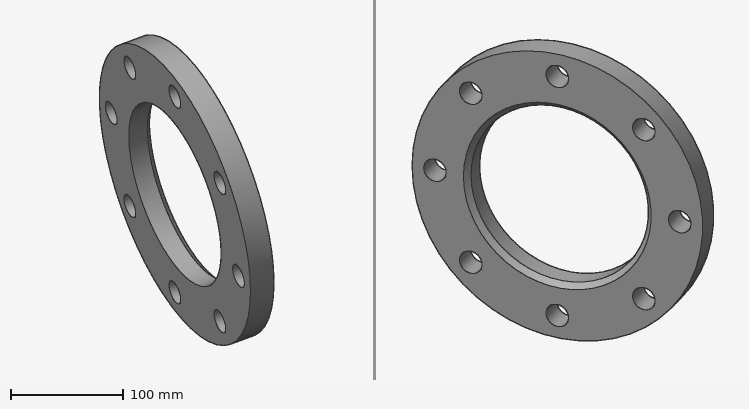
import cadquery as cq

outer_diameter = 285.0
thickness = 24.0
bore_diameter = 173.8
bore_chamfer = 5.0
bolt_circle_diameter = 240.0
bolt_hole_diameter = 22.0
bolt_hole_count = 8


def make_ring():
    """Flange ring with its central bore, centred on the origin."""
    return (
        cq.Workplane("XZ", origin=(0, thickness / 2, 0))
        .circle(outer_diameter / 2)
        .circle(bore_diameter / 2)
        .extrude(thickness)
    )


def make_bore_chamfer():
    """Cutter for the 45 degree chamfer around the bore on the +Y face."""
    return (
        cq.Workplane("XZ", origin=(0, thickness / 2, 0))
        .circle(bore_diameter / 2 + bore_chamfer)
        .workplane(offset=bore_chamfer)
        .circle(bore_diameter / 2)
        .loft(ruled=True)
    )


def make_bolt_holes():
    """Cutters for the evenly spaced through holes."""
    return (
        cq.Workplane("XZ", origin=(0, thickness / 2, 0))
        .polarArray(bolt_circle_diameter / 2, 0, 360, bolt_hole_count)
        .circle(bolt_hole_diameter / 2)
        .extrude(thickness)
    )


result = make_ring().cut(make_bore_chamfer()).cut(make_bolt_holes())